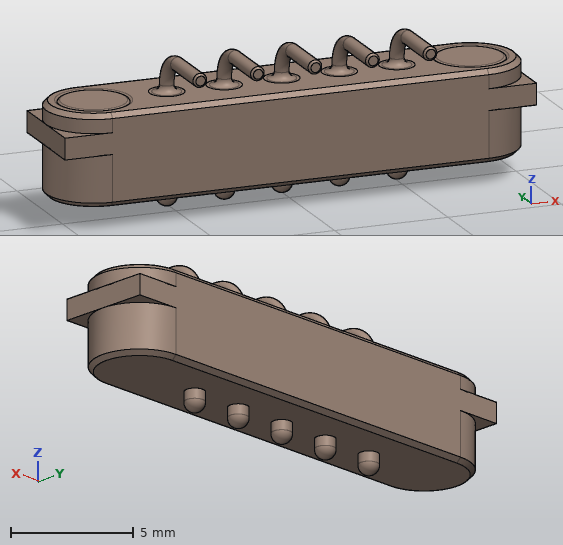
import cadquery as cq
import math

LENGTH = 20.8
WIDTH = 4.2
HEIGHT = 4.0
EDGE_CHAMFER = 0.2
FLANGE_DROP = 0.81
FLANGE_THICKNESS = 0.94

MAGNET_DIAMETER = 3.0
MAGNET_RIM_RADIUS = 0.1
MAGNET_DEPTH = 3.0
MAGNET_X = (LENGTH - WIDTH) / 2

PIN_COUNT = 5
PIN_PITCH = 2.54
BARREL_DIAMETER = 1.5
BARREL_LENGTH = 3.0
PLUNGER_DIAMETER = 0.9
PLUNGER_PROJECTION = 0.9
WIRE_DIAMETER = 0.6
WIRE_FILLET = 0.31
BEND_RADIUS = 1.19
WIRE_REACH = 3.75
TIP_CHAMFER = 0.094

PIN_XS = [(i - (PIN_COUNT - 1) / 2) * PIN_PITCH for i in range(PIN_COUNT)]
MAGNET_XS = [-MAGNET_X, MAGNET_X]


def cylinder(diameter, bottom, top, x=0.0):
    """Vertical cylinder between two heights."""
    return cq.Workplane("XY", origin=(x, 0, bottom)).circle(diameter / 2).extrude(top - bottom)


def make_housing():
    """Chamfered bar and flange in one piece, with magnet pockets and stepped pin holes."""
    body = cq.Workplane("XY").workplane(offset=-HEIGHT).slot2D(LENGTH, WIDTH).extrude(HEIGHT)
    body = body.faces("|Z").edges().chamfer(EDGE_CHAMFER)

    flange = cq.Workplane("XY").workplane(offset=-FLANGE_DROP - FLANGE_THICKNESS)
    flange = flange.rect(LENGTH, WIDTH).extrude(FLANGE_THICKNESS)
    housing = body.union(flange)

    for x in MAGNET_XS:
        housing = housing.cut(cylinder(MAGNET_DIAMETER, -MAGNET_DEPTH, 0, x))
    pocket_rims = housing.faces(">Z").edges("%CIRCLE").edges(cq.selectors.RadiusNthSelector(0))
    housing = pocket_rims.fillet(MAGNET_RIM_RADIUS)
    for x in PIN_XS:
        housing = housing.cut(cylinder(BARREL_DIAMETER, -BARREL_LENGTH, 0, x))
        housing = housing.cut(cylinder(PLUNGER_DIAMETER, -HEIGHT, -BARREL_LENGTH, x))
    return housing


def make_magnet(x):
    """Disc magnet, flush with the housing top."""
    magnet = cylinder(MAGNET_DIAMETER, -MAGNET_DEPTH, 0, x)
    return magnet.faces(">Z").edges().fillet(MAGNET_RIM_RADIUS)


def make_pin(x):
    """Turned barrel with a domed plunger below and a bent wire above."""
    plunger_radius = PLUNGER_DIAMETER / 2
    barrel_radius = BARREL_DIAMETER / 2
    wire_radius = WIRE_DIAMETER / 2
    tip = -HEIGHT - PLUNGER_PROJECTION
    dome_start = tip + plunger_radius
    diagonal = math.sqrt(0.5)
    fillet_radius_at_middle = wire_radius + WIRE_FILLET * (1 - diagonal)

    turned = (
        cq.Workplane("XZ")
        .moveTo(0, tip)
        .threePointArc(
            (plunger_radius * diagonal, dome_start - plunger_radius * diagonal),
            (plunger_radius, dome_start),
        )
        .lineTo(plunger_radius, -BARREL_LENGTH)
        .lineTo(barrel_radius, -BARREL_LENGTH)
        .lineTo(barrel_radius, 0)
        .lineTo(wire_radius + WIRE_FILLET, 0)
        .threePointArc(
            (fillet_radius_at_middle, WIRE_FILLET * (1 - diagonal)),
            (wire_radius, WIRE_FILLET),
        )
        .lineTo(0, WIRE_FILLET)
        .close()
        .revolve(360, (0, 0), (0, 1))
    )

    bend = (
        cq.Workplane("XY", origin=(0, 0, WIRE_FILLET))
        .circle(wire_radius)
        .revolve(90, (0, -BEND_RADIUS), (1, -BEND_RADIUS))
    )
    tail = (
        cq.Workplane("XZ", origin=(0, -BEND_RADIUS, WIRE_FILLET + BEND_RADIUS))
        .circle(wire_radius)
        .extrude(WIRE_REACH - BEND_RADIUS)
        .faces("<Y")
        .chamfer(TIP_CHAMFER)
    )
    return turned.union(bend).union(tail).translate((x, 0, 0))


housing = make_housing()
magnets = [make_magnet(x) for x in MAGNET_XS]
pins = [make_pin(x) for x in PIN_XS]

result = cq.Compound.makeCompound(
    [housing.val(), *[magnet.val() for magnet in magnets], *[pin.val() for pin in pins]]
)